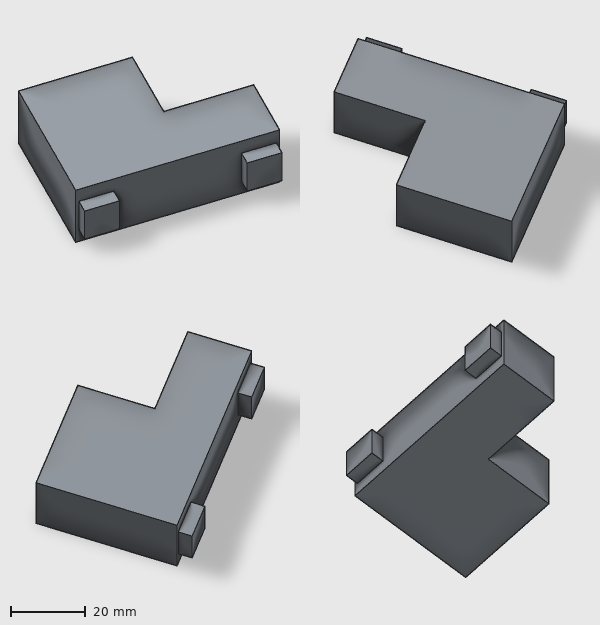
import cadquery as cq

body_width = 40.05
body_length = 59.0
height = 20.0
wide_length = 33.0
arm_width = 18.2

tab_depth = 3.95
tab_length = 10.1
tab_height = 10.75
tab_end_gap = 0.95


def make_body():
    wide_block = cq.Workplane("XY").box(body_width, wide_length, height, centered=False)
    long_arm = (
        cq.Workplane("XY")
        .box(arm_width, body_length, height, centered=False)
        .translate((body_width - arm_width, 0, 0))
    )
    return wide_block.union(long_arm).clean()


def make_tab(start_y):
    base_z = (height - tab_height) / 2
    return (
        cq.Workplane("XY")
        .box(tab_depth, tab_length, tab_height, centered=False)
        .translate((body_width, start_y, base_z))
    )


result = make_body()
for start_y in (tab_end_gap, body_length - tab_end_gap - tab_length):
    result = result.union(make_tab(start_y))